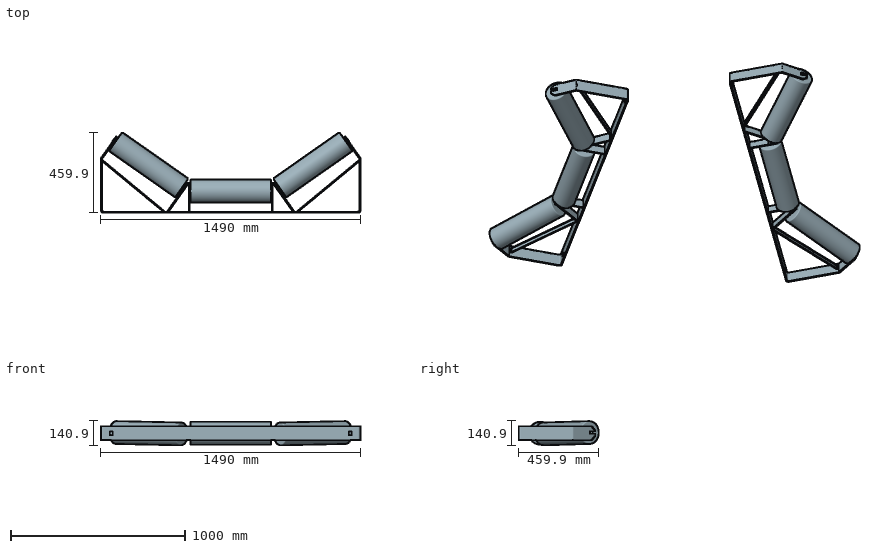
import cadquery as cq
import math

overall_width = 1490.0
strap_height = 80.0
strip_thickness = 7.0
corner_radius = 15.0
bend_radius = 9.0
bend_y = 313.0
arm_length = 153.0
arm_chamfer = 22.0
hole_width = 20.0
hole_height = 24.0
hole_x = 685.0

bracket_height = 55.0
brace_height = 33.0
brace_z = 6.0
brace_thickness = 6.0
brace_top_y = 304.0
brace_foot_x = 378.0

trough_angle = 35.0
tilt_angle = 1.0
roller_diameter = 133.0
roller_length = 463.0
roller_edge_radius = 6.0
shaft_diameter = 20.0
shaft_flat_width = 13.0
slot_depth = 60.0
slot_overrun = 3.0
centre_roller_y = 125.0
side_roller_x = 471.0
side_roller_y = 275.0
side_gap = 9.0
centre_gap = 3.0

half_width = overall_width / 2
slope = math.radians(trough_angle)
arm_direction = cq.Vector(math.sin(slope), math.cos(slope))
axis_direction = cq.Vector(math.cos(slope), -math.sin(slope))
side_shaft_length = roller_length + 2 * (side_gap + strip_thickness)
centre_shaft_length = roller_length + 2 * (centre_gap + strip_thickness)


def band(path, thickness, height):
    """Upright strip lying along the left-hand side of a path, with mitred bends."""
    headings = [math.atan2((end - start).y, (end - start).x) for start, end in zip(path, path[1:])]
    far_side = []
    for point, arriving, leaving in zip(path, headings[:1] + headings, headings + headings[-1:]):
        half_turn = math.remainder(leaving - arriving, 2 * math.pi) / 2
        mitre = arriving + half_turn + math.pi / 2
        reach = thickness / math.cos(half_turn)
        far_side.append(point + cq.Vector(math.cos(mitre), math.sin(mitre)) * reach)
    outline = [(point.x, point.y) for point in path + far_side[::-1]]
    return cq.Workplane("XY").polyline(outline).close().extrude(height / 2, both=True)


def round_bend(strip, x, y, radius):
    """Round the upright edge of a strip that is nearest to a point."""
    return strip.edges("|Z").edges(cq.NearestToPointSelector((x, y, 0))).fillet(radius)


def mirrored(shape):
    """Copy of a left-hand shape on the right-hand side."""
    return shape.mirror("YZ")


def on_left_axis(shape):
    """Carry a shape from the X axis to the axis of the left side roller."""
    tilted = shape.rotate((0, 0, 0), (0, 1, 0), tilt_angle)
    sloped = tilted.rotate((0, 0, 0), (0, 0, 1), -trough_angle)
    return sloped.translate((-side_roller_x, side_roller_y, 0))


def on_centre_axis(shape):
    """Carry a shape from the X axis to the axis of the centre roller."""
    return shape.translate((0, centre_roller_y, 0))


def cylinder(diameter, length):
    """Cylinder centred on the X axis."""
    return cq.Workplane("YZ").workplane(offset=-length / 2).circle(diameter / 2).extrude(length)


def roller(shaft_length):
    """Roller with rounded rims and a shaft that is flat above and below."""
    barrel = cylinder(roller_diameter, roller_length).faces("<X or >X").edges().fillet(roller_edge_radius)
    flats = cq.Workplane("XY").box(shaft_length, shaft_diameter, shaft_flat_width)
    shaft = cylinder(shaft_diameter, shaft_length).intersect(flats)
    return barrel.union(shaft)


def strap():
    """Long base strap, bent up into two walls and inwards into two chamfered arms."""
    corner = cq.Vector(-half_width, 0)
    bend = cq.Vector(-half_width, bend_y)
    tip = bend + arm_direction * arm_length
    left_path = [tip, bend, corner]
    right_path = [cq.Vector(-point.x, point.y) for point in reversed(left_path)]
    body = band(left_path + right_path, strip_thickness, strap_height)
    for side in (-1, 1):
        inner_x = side * (half_width - strip_thickness)
        body = round_bend(body, side * half_width, 0, corner_radius)
        body = round_bend(body, inner_x, strip_thickness, corner_radius - strip_thickness)
        body = round_bend(body, side * half_width, bend_y, bend_radius)
        across_tip = cq.Vector(-side * axis_direction.x, axis_direction.y)
        body = body.edges(cq.ParallelDirSelector(across_tip)).chamfer(arm_chamfer)
    return body


def strap_holes():
    """Cutters for the upright mounting holes near the ends of the strap."""
    centres = cq.Workplane("XZ").pushPoints([(-hole_x, 0), (hole_x, 0)])
    return centres.slot2D(hole_height, hole_width, 90).extrude(-strip_thickness)


def bracket():
    """Left bracket: a post beside the centre roller, bent over into the left roller's inner arm."""
    post_x = -(roller_length / 2 + centre_gap)
    side_centre = cq.Vector(-side_roller_x, side_roller_y)
    arm_start = side_centre + axis_direction * (roller_length / 2 + side_gap)
    foot = arm_start + arm_direction * ((strip_thickness - arm_start.y) / arm_direction.y)
    peak = arm_start + arm_direction * ((post_x - arm_start.x) / arm_direction.x)
    body = band([cq.Vector(post_x, strip_thickness), peak, foot], strip_thickness, bracket_height)
    return round_bend(body, peak.x, peak.y, bend_radius)


def brace():
    """Left brace, from the strap base up to the top of the strap wall."""
    foot = cq.Vector(-brace_foot_x, strip_thickness)
    top = cq.Vector(strip_thickness - half_width, brace_top_y)
    return band([foot, top], brace_thickness, brace_height).translate((0, 0, brace_z))


def shaft_slot(shaft_length):
    """Cutter for a pair of slots that hold a shaft and open towards +Y."""
    cutter = cq.Workplane("XY").box(shaft_length + 2 * slot_overrun, slot_depth, shaft_flat_width)
    return cutter.translate((0, (slot_depth - shaft_diameter) / 2, 0))


def frame():
    """Strap with its holes, brackets, braces and shaft slots."""
    body = strap().cut(strap_holes())
    for part in (bracket(), brace()):
        body = body.union(part).union(mirrored(part))
    side_slot = on_left_axis(shaft_slot(side_shaft_length))
    centre_slot = on_centre_axis(shaft_slot(centre_shaft_length))
    return body.cut(side_slot).cut(mirrored(side_slot)).cut(centre_slot)


trough_frame = frame()
left_roller = on_left_axis(roller(side_shaft_length))
centre_roller = on_centre_axis(roller(centre_shaft_length))
right_roller = mirrored(left_roller)

result = cq.Compound.makeCompound(
    [trough_frame.val(), left_roller.val(), centre_roller.val(), right_roller.val()]
)